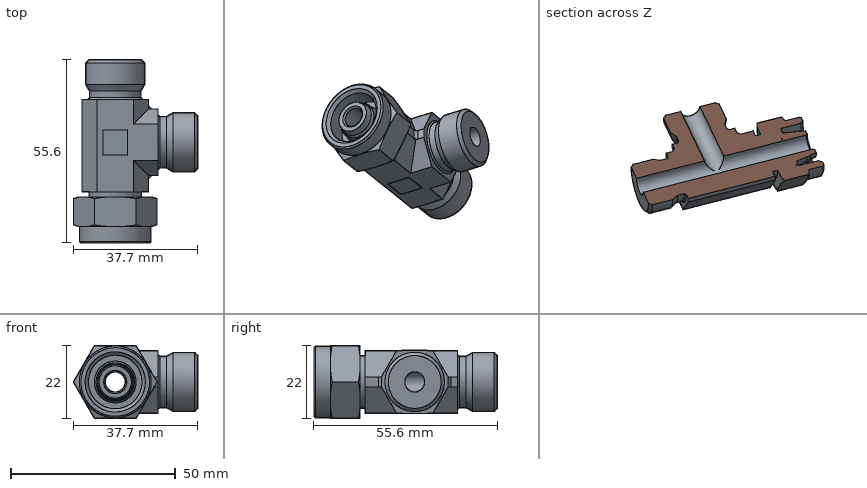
import cadquery as cq
import math

port_reach = 25.0
nut_end = -30.6

body_across_flats = 19.0
body_half_width = 10.1
body_rear = -15.0
port_length = 12.0
body_face = port_reach - port_length
web_leg = 0.9

thread_radius = 9.0
thread_end_chamfer = 1.0
thread_length = 7.45
undercut_radius = 7.85
undercut_start = 9.45
root_flare = 0.5
bore_radius = 3.0

pad_side = 7.55
pad_height = 0.1

neck_radius = 8.0
nut_across_flats = 22.0
nut_rear = -16.5
hex_end = -25.6
hex_chamfer_radius = nut_across_flats / 2
hex_chamfer_angle = 18
collar_radius = 10.9
collar_chamfer = 0.5
nut_bore_radius = 8.1
nut_mouth_chamfer = 1.0

cone_tip_radius = 4.9
cone_recess = 0.55
cone_tip = nut_end + cone_recess
cone_base_radius = 6.35
cone_half_angle = 12
cone_length = (cone_base_radius - cone_tip_radius) / math.tan(math.radians(cone_half_angle))
nut_floor = cone_tip + cone_length
tip_bore_chamfer = 0.5

ring_section_radius = 0.75
ring_centre_radius = 5.03
ring_offset = 2.8


def revolve_about_y(points):
    """Turn an outline of (radius, y) points about the Y axis."""
    return cq.Workplane("XY").polyline(points).close().revolve(360, (0, 0), (0, 1))


def hexagon_corner_radius(across_flats):
    return across_flats / 2 / math.cos(math.radians(30))


def hexagon_bar(across_flats, start, end):
    """Hexagon bar along Y with flats facing up and down."""
    corner_diameter = 2 * hexagon_corner_radius(across_flats)
    bar = cq.Workplane("XZ", origin=(0, end, 0)).polygon(6, corner_diameter)
    return bar.extrude(end - start)


def along_branch(shape):
    """Turn a shape lying along +Y to lie along +X."""
    return shape.rotate((0, 0, 0), (0, 0, 1), -90)


def body_bar(start, end):
    """Body hexagon along Y with its side corners cut flat."""
    bar = hexagon_bar(body_across_flats, start, end)
    limits = cq.Workplane("XY").box(2 * body_half_width, 4 * port_reach, body_across_flats)
    return bar.intersect(limits)


def threaded_port():
    return revolve_about_y([
        (0, 0),
        (undercut_radius + root_flare, 0),
        (undercut_radius + root_flare, body_face),
        (undercut_radius, body_face + root_flare),
        (undercut_radius, port_reach - undercut_start),
        (thread_radius, port_reach - thread_length),
        (thread_radius, port_reach - thread_end_chamfer),
        (thread_radius - thread_end_chamfer, port_reach),
        (0, port_reach),
    ])


def corner_web(side):
    """Triangular web between the run and branch side flats; side is +1 or -1 along Y."""
    corner_radius = hexagon_corner_radius(body_across_flats)
    half_height = (corner_radius - body_half_width) * math.tan(math.radians(60))
    corner = body_half_width
    outline = [
        (corner, side * corner),
        (corner + web_leg, side * corner),
        (corner, side * (corner + web_leg)),
    ]
    return cq.Workplane("XY").polyline(outline).close().extrude(half_height, both=True)


def marking_pads():
    return cq.Workplane("XY").box(pad_side, pad_side, body_across_flats + 2 * pad_height)


def nut_hexagon():
    """Nut hexagon with its corners turned down at both ends."""
    corner_radius = hexagon_corner_radius(nut_across_flats)
    drop = (corner_radius - hex_chamfer_radius) * math.tan(math.radians(hex_chamfer_angle))
    turned = revolve_about_y([
        (0, hex_end),
        (hex_chamfer_radius, hex_end),
        (corner_radius, hex_end + drop),
        (corner_radius, nut_rear - drop),
        (hex_chamfer_radius, nut_rear),
        (0, nut_rear),
    ])
    return hexagon_bar(nut_across_flats, hex_end, nut_rear).intersect(turned)


def nut_collar():
    return revolve_about_y([
        (0, hex_end),
        (0, nut_end),
        (collar_radius - collar_chamfer, nut_end),
        (collar_radius, nut_end + collar_chamfer),
        (collar_radius, hex_end),
    ])


def nut_cavity():
    return revolve_about_y([
        (0, nut_floor),
        (0, nut_end),
        (nut_bore_radius + nut_mouth_chamfer, nut_end),
        (nut_bore_radius, nut_end + nut_mouth_chamfer),
        (nut_bore_radius, nut_floor),
    ])


def sealing_cone():
    cone = revolve_about_y([
        (0, nut_floor),
        (0, cone_tip),
        (cone_tip_radius, cone_tip),
        (cone_base_radius, nut_floor),
    ])
    ring = (
        cq.Workplane("XY")
        .center(ring_centre_radius, cone_tip + ring_offset)
        .circle(ring_section_radius)
        .revolve(360, (-ring_centre_radius, 0), (-ring_centre_radius, 1))
    )
    return cone.union(ring)


def run_bore():
    return revolve_about_y([
        (0, cone_tip),
        (bore_radius + tip_bore_chamfer, cone_tip),
        (bore_radius, cone_tip + tip_bore_chamfer),
        (bore_radius, port_reach),
        (0, port_reach),
    ])


def branch_bore():
    return cq.Workplane("YZ").circle(bore_radius).extrude(port_reach)


body = body_bar(body_rear, body_face).union(along_branch(body_bar(0, body_face)))
for side in (1, -1):
    body = body.union(corner_web(side))
body = body.union(threaded_port()).union(along_branch(threaded_port())).union(marking_pads())

neck = cq.Workplane("XZ", origin=(0, body_rear, 0)).circle(neck_radius).extrude(body_rear - nut_rear)
nut = nut_hexagon().union(nut_collar()).cut(nut_cavity()).union(sealing_cone())

result = body.union(neck).union(nut).cut(run_bore()).cut(branch_bore())